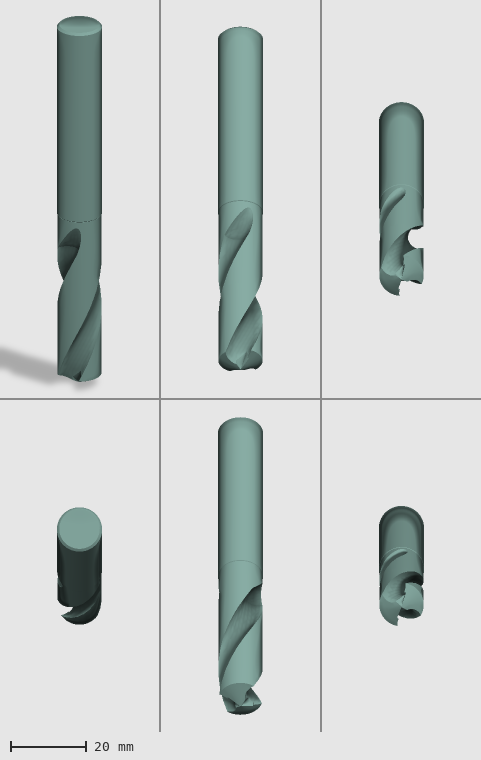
import cadquery as cq
import math

TOTAL_LENGTH = 104.0
SHANK_DIAMETER = 12.0
SHANK_LENGTH = 54.9
SHANK_TOP_CHAMFER = 0.6
SHANK_STEP_CHAMFER = 0.2

CUT_DIAMETER = 11.8
POINT_HEIGHT = 2.8
HEAD_LENGTH = 23.4

FLUTE_COUNT = 2
FLUTE_PITCH = 75.4
FLUTE_SPAN = 70.0
WEB_RADIUS = 1.7
HELIX_TOP = 39.7
HELIX_TOP_ANGLE = 286.0
FLUTE_START = -1.0

RUNOUT_TOP = 47.3
RUNOUT_LEAD = 33.0
RUNOUT_TIP_RADIUS = 1.7

GASH_REACH = 3.6
GASH_SLOPE_ANGLE = 63.0
GASH_DIRECTION = 316.0
GASH_LIP_ANGLE = 257.0
GASH_HEEL_ANGLE = 335.0
GASH_AXIS_CLEARANCE = 0.1

SHANK_RADIUS = SHANK_DIAMETER / 2
CUT_RADIUS = CUT_DIAMETER / 2
STEP_HEIGHT = TOTAL_LENGTH - SHANK_LENGTH
FLUTE_SPACING = 360.0 / FLUTE_COUNT


def drill_blank():
    """Revolved drill without flutes, from the point up to the shank end."""
    return (
        cq.Workplane("XZ")
        .moveTo(0, 0)
        .lineTo(CUT_RADIUS, POINT_HEIGHT)
        .lineTo(CUT_RADIUS, STEP_HEIGHT)
        .lineTo(SHANK_RADIUS - SHANK_STEP_CHAMFER, STEP_HEIGHT)
        .lineTo(SHANK_RADIUS, STEP_HEIGHT + SHANK_STEP_CHAMFER)
        .lineTo(SHANK_RADIUS, TOTAL_LENGTH - SHANK_TOP_CHAMFER)
        .lineTo(SHANK_RADIUS - SHANK_TOP_CHAMFER, TOTAL_LENGTH)
        .lineTo(0, TOTAL_LENGTH)
        .close()
        .revolve(360, (0, 0, 0), (0, 1, 0))
    )


def flute_section(height):
    """Circle through the web and both flute edges, centred on the +X side."""
    half_span = math.radians(FLUTE_SPAN / 2)
    half_chord = CUT_RADIUS * math.sin(half_span)
    depth = CUT_RADIUS * math.cos(half_span) - WEB_RADIUS
    radius = (half_chord**2 + depth**2) / (2 * depth)
    plane = cq.Workplane("XY").workplane(offset=height)
    return plane.moveTo(WEB_RADIUS + radius, 0).circle(radius)


def turned(body, angle):
    """Turn a body about the drill axis."""
    return body.rotate((0, 0, 0), (0, 0, 1), angle)


def helical_cutter():
    """Helical part of a flute, ending on the +X side at the run-out."""
    length = HELIX_TOP - FLUTE_START
    twist = 360.0 * length / FLUTE_PITCH
    return turned(flute_section(FLUTE_START).twistExtrude(length, twist), -twist)


def runout_cutter():
    """Oblique cone that narrows from the full flute to its upper end at the surface."""
    end_offset = CUT_RADIUS + RUNOUT_TIP_RADIUS
    lead = math.radians(RUNOUT_LEAD)
    end_circle = cq.Workplane("XY").workplane(offset=RUNOUT_TOP)
    end_circle = end_circle.moveTo(end_offset * math.cos(lead), end_offset * math.sin(lead))
    end_circle = end_circle.circle(RUNOUT_TIP_RADIUS)
    wires = flute_section(HELIX_TOP).ctx.pendingWires + end_circle.ctx.pendingWires
    return cq.Workplane(cq.Solid.makeLoft(wires, True))


def gash_cutter():
    """Wedge under a sloped face that rises outward from the point, for the first gash."""
    rise = GASH_REACH * math.tan(math.radians(GASH_SLOPE_ANGLE))
    wedge = (
        cq.Workplane("XZ")
        .polyline([(0, 0), (GASH_REACH, 0), (GASH_REACH, rise)])
        .close()
        .extrude(GASH_REACH, both=True)
    )
    lip = math.radians(GASH_LIP_ANGLE - GASH_DIRECTION)
    heel = math.radians(GASH_HEEL_ANGLE - GASH_DIRECTION)
    sector = (
        cq.Workplane("XY")
        .lineTo(GASH_REACH * math.cos(lip), GASH_REACH * math.sin(lip))
        .lineTo(GASH_REACH, GASH_REACH * math.sin(lip))
        .lineTo(GASH_REACH * math.cos(heel), GASH_REACH * math.sin(heel))
        .close()
        .extrude(rise)
    )
    cutter = wedge.intersect(sector).translate((GASH_AXIS_CLEARANCE, 0, 0))
    return turned(cutter, GASH_DIRECTION)


drill = drill_blank()
flute_cutters = [turned(cutter, HELIX_TOP_ANGLE) for cutter in (helical_cutter(), runout_cutter())]
for index in range(FLUTE_COUNT):
    for cutter in (*flute_cutters, gash_cutter()):
        drill = drill.cut(turned(cutter, index * FLUTE_SPACING))

head_zone = cq.Workplane("XY").circle(SHANK_DIAMETER).extrude(HEAD_LENGTH)
head = drill.intersect(head_zone)
shank = drill.cut(head_zone)

result = cq.Compound.makeCompound([head.val(), shank.val()])